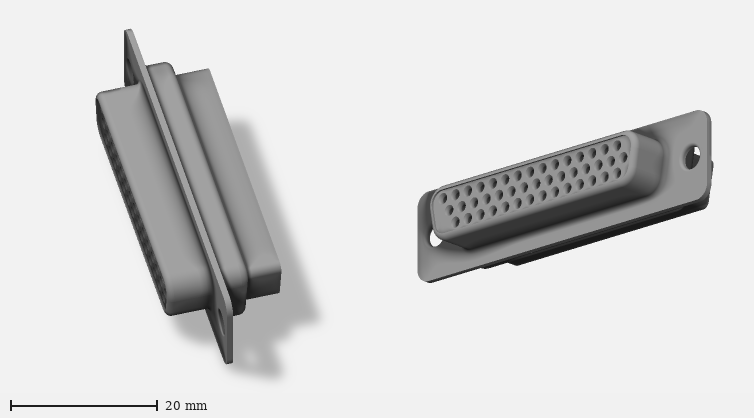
import cadquery as cq
import math


flange_length = 53.4
flange_height = 12.95
flange_thickness = 0.85
flange_corner_radius = 2.05

mounting_spacing = 47.1
mounting_diameter = 3.25
mounting_lead_in = 0.45

side_angle = math.radians(10)

front_width = 38.35
front_height = 7.95
front_depth = 6.25
front_corner_radius = 2.6
front_edge_radius = 0.85
front_base_radius = 0.55

rear_width = 41.25
rear_height = 10.75
rear_depth = 4.0
rear_corner_radius = 2.05
rear_edge_radius = 1.1
rear_base_radius = 0.75

recess_inset = 0.8
recess_depth = 0.3
recess_floor = recess_depth - front_depth

block_width = 37.95
block_height = 7.0
block_corner_radius = 1.0
overall_depth = 16.0
block_end = overall_depth - front_depth

contact_pitch = 2.29
contact_row_spacing = 2.0
contact_diameter = 0.9
contact_mouth_diameter = 1.6
contact_mouth_depth = 0.55
full_row_count = 15
short_row_count = full_row_count - 1

selection_margin = 0.05


def d_prism(width, height, corner_radius, start, end):
    """D-shaped prism from Y = start to Y = end; width is measured over the rounded ends."""
    sine = math.sin(side_angle)
    cosine = math.cos(side_angle)
    top_half = width / 2 - corner_radius + corner_radius * (1 + sine) / cosine
    bottom_half = top_half - height * math.tan(side_angle)
    corners = [
        (-top_half, height / 2),
        (top_half, height / 2),
        (bottom_half, -height / 2),
        (-bottom_half, -height / 2),
    ]
    prism = cq.Workplane("XZ", origin=(0, start, 0)).polyline(corners).close().extrude(start - end)
    return prism.edges("|Y").fillet(corner_radius)


def face_edges(body, x, y, width, height):
    """Edges lying at the given Y inside a width x height window centered on X = x, Z = 0."""
    low = (x - width / 2 - selection_margin, y - selection_margin, -height / 2 - selection_margin)
    high = (x + width / 2 + selection_margin, y + selection_margin, height / 2 + selection_margin)
    return body.edges(cq.selectors.BoxSelector(low, high, boundingbox=True))


def make_flange():
    flange = cq.Workplane("XY").box(
        flange_length, flange_thickness, flange_height, centered=(True, False, True)
    )
    return flange.edges("|Y").fillet(flange_corner_radius)


def make_shells():
    front = d_prism(front_width, front_height, front_corner_radius, -front_depth, 0)
    front = front.faces("<Y").edges().fillet(front_edge_radius)
    rear_face = flange_thickness + rear_depth
    rear = d_prism(rear_width, rear_height, rear_corner_radius, flange_thickness, rear_face)
    rear = rear.faces(">Y").edges().fillet(rear_edge_radius)
    body = make_flange().union(front).union(rear)
    body = face_edges(body, 0, 0, front_width, front_height).fillet(front_base_radius)
    body = face_edges(body, 0, flange_thickness, rear_width, rear_height).fillet(rear_base_radius)
    return body


def make_block():
    return d_prism(block_width, block_height, block_corner_radius, flange_thickness, block_end)


def cut_front_recess(body):
    recess = d_prism(
        front_width - 2 * recess_inset,
        front_height - 2 * recess_inset,
        front_corner_radius - recess_inset,
        -front_depth,
        recess_floor,
    )
    return body.cut(recess)


def cut_mounting_holes(body):
    """Two through holes with a rounded lead-in on the front face."""
    for x in (-mounting_spacing / 2, mounting_spacing / 2):
        hole = cq.Workplane("XZ").center(x, 0).circle(mounting_diameter / 2).extrude(-flange_thickness)
        body = body.cut(hole)
        rim = face_edges(body, x, 0, mounting_diameter, mounting_diameter)
        body = rim.fillet(mounting_lead_in)
    return body


def contact_centers():
    """Three staggered rows; the bottom row lacks its leftmost contact."""
    stagger = contact_pitch / 4
    rows = [
        (contact_row_spacing, -stagger, full_row_count),
        (0, stagger, full_row_count),
        (-contact_row_spacing, -stagger, short_row_count),
    ]
    centers = []
    for z, shift, count in rows:
        right_end = shift + contact_pitch * (full_row_count - 1) / 2
        centers += [(right_end - i * contact_pitch, z) for i in range(count)]
    return centers


def cut_contact_holes(body):
    bore_radius = contact_diameter / 2
    mouth_radius = contact_mouth_diameter / 2
    inward = cq.Vector(0, 1, 0)
    cutters = []
    for x, z in contact_centers():
        entry = cq.Vector(x, recess_floor, z)
        cutters.append(cq.Solid.makeCylinder(bore_radius, overall_depth, entry, inward))
        cutters.append(cq.Solid.makeCone(mouth_radius, bore_radius, contact_mouth_depth, entry, inward))
    return cq.Workplane(body.val().cut(*cutters))


result = make_shells().union(make_block())
result = cut_front_recess(result)
result = cut_mounting_holes(result)
result = cut_contact_holes(result)